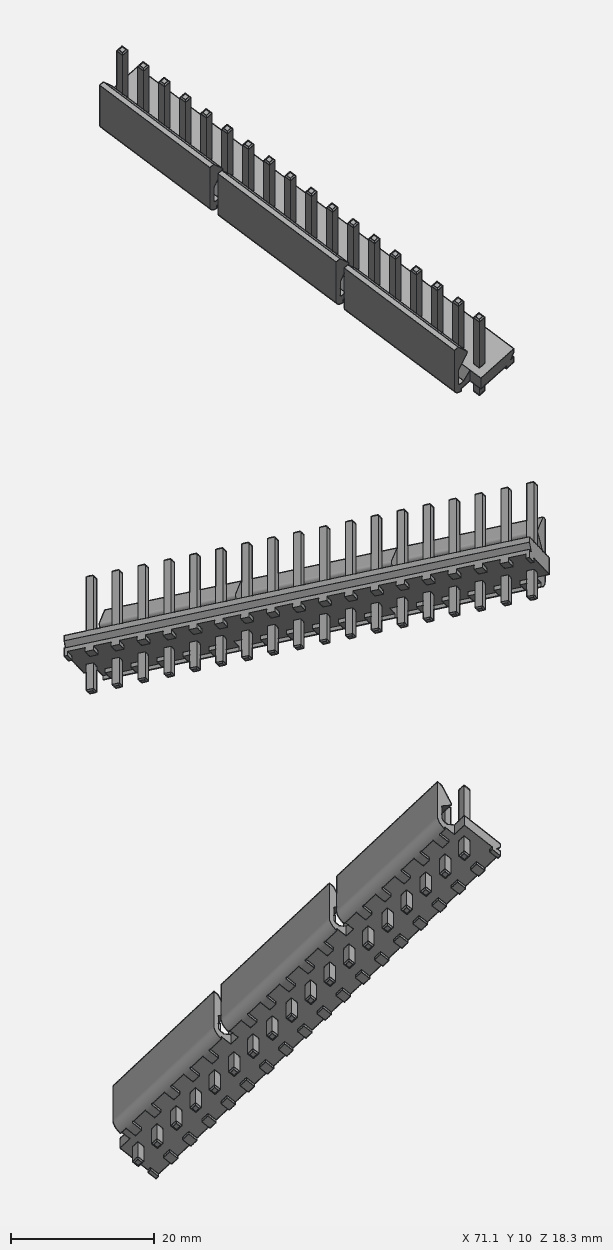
import cadquery as cq

PIN_COUNT = 18
PIN_ROW_LENGTH = 67.35
PITCH = PIN_ROW_LENGTH / (PIN_COUNT - 1)
PIN_WIDTH = 1.15
PIN_TOP = 14.0
PIN_BOTTOM = -4.3
PIN_TIP_CHAMFER = 0.2

BODY_LENGTH = 71.1
BODY_BACK = 5.1
BODY_FRONT = -1.7
BODY_HEIGHT = 2.6
GROOVE_TOP = 1.8
GROOVE_BOTTOM = 0.65
GROOVE_DEPTH = 0.65

FOOT_WIDTH = 1.3
FOOT_HEIGHT = 0.65
BACK_FOOT_DEPTH = 1.6

LATCH_FRONT = -4.9
LATCH_TOP = 10.75
LATCH_END = 33.5
LATCH_GAP = 1.5
MIDDLE_LATCH_LENGTH = 22.3
WALL_THICKNESS = 0.85
TIP_THICKNESS = 0.8
NOSE_REACH = 2.8
NOSE_HEIGHT = 7.55
NOSE_ROUND = 0.6
NOSE_BASE = 5.1
NOSE_BASE_ROUND = 0.4
FLOOR_HEIGHT = 1.35
FLOOR_ROUND = 0.5
HEEL_RADIUS = 1.85
RECESS_FRONT = -3.5


def box(x_range, y_range, z_range):
    """Box between the given limits along each axis."""
    ranges = (x_range, y_range, z_range)
    corner = tuple(low for low, high in ranges)
    sizes = [high - low for low, high in ranges]
    return cq.Workplane("XY", origin=corner).box(*sizes, centered=False)


def row_positions(count):
    """X places of a row with the pin pitch, centred on X = 0."""
    return [(i - (count - 1) / 2) * PITCH for i in range(count)]


def make_body():
    """Strip with a saw-tooth groove along its back face."""
    return (
        cq.Workplane("YZ", origin=(-BODY_LENGTH / 2, 0, 0))
        .moveTo(BODY_FRONT, 0)
        .lineTo(BODY_BACK, 0)
        .lineTo(BODY_BACK, GROOVE_BOTTOM)
        .lineTo(BODY_BACK - GROOVE_DEPTH, GROOVE_BOTTOM)
        .lineTo(BODY_BACK, GROOVE_TOP)
        .lineTo(BODY_BACK, BODY_HEIGHT)
        .lineTo(BODY_FRONT, BODY_HEIGHT)
        .close()
        .extrude(BODY_LENGTH)
    )


def make_latch(start, end):
    """Hooked wall from X = start to X = end, joined to the front of the body."""
    wall_back = LATCH_FRONT + WALL_THICKNESS
    nose = LATCH_FRONT + NOSE_REACH
    floor_back = BODY_FRONT - (BODY_HEIGHT - FLOOR_HEIGHT)
    heel_y = LATCH_FRONT + HEEL_RADIUS
    heel_z = HEEL_RADIUS - FOOT_HEIGHT
    latch = (
        cq.Workplane("YZ", origin=(start, 0, 0))
        .moveTo(BODY_FRONT, -FOOT_HEIGHT)
        .lineTo(BODY_FRONT, BODY_HEIGHT)
        .lineTo(floor_back, FLOOR_HEIGHT)
        .lineTo(wall_back, FLOOR_HEIGHT)
        .lineTo(wall_back, NOSE_BASE)
        .lineTo(nose, NOSE_HEIGHT)
        .lineTo(LATCH_FRONT + TIP_THICKNESS, LATCH_TOP)
        .lineTo(LATCH_FRONT, LATCH_TOP)
        .lineTo(LATCH_FRONT, heel_z)
        .radiusArc((heel_y, -FOOT_HEIGHT), -HEEL_RADIUS)
        .close()
        .extrude(end - start)
    )
    for y, z, radius in (
        (nose, NOSE_HEIGHT, NOSE_ROUND),
        (wall_back, NOSE_BASE, NOSE_BASE_ROUND),
        (wall_back, FLOOR_HEIGHT, FLOOR_ROUND),
    ):
        edge = cq.selectors.NearestToPointSelector(((start + end) / 2, y, z))
        latch = latch.edges("|X").edges(edge).fillet(radius)
    return latch


def make_recess():
    """Space under the latches that leaves only the front feet standing."""
    depth_range = (RECESS_FRONT, BODY_FRONT)
    height_range = (-FOOT_HEIGHT, 0)
    half_space = (PITCH - FOOT_WIDTH) / 2
    recess = cq.Workplane("XY")
    for x in row_positions(PIN_COUNT):
        recess = recess.add(box((x - half_space, x + half_space), depth_range, height_range))
    return recess.combine()


def make_back_feet():
    """Feet under the back edge; the outermost two are cut flush with the body ends."""
    depth_range = (BODY_BACK - BACK_FOOT_DEPTH, BODY_BACK)
    height_range = (-FOOT_HEIGHT, 0)
    feet = cq.Workplane("XY")
    for x in row_positions(PIN_COUNT + 1):
        start = max(x - FOOT_WIDTH / 2, -BODY_LENGTH / 2)
        end = min(x + FOOT_WIDTH / 2, BODY_LENGTH / 2)
        feet = feet.add(box((start, end), depth_range, height_range))
    return feet.combine()


def make_pins():
    """Square pins through the body with chamfered tips."""
    return (
        cq.Workplane("XY", origin=(0, 0, PIN_BOTTOM))
        .pushPoints([(x, 0) for x in row_positions(PIN_COUNT)])
        .rect(PIN_WIDTH, PIN_WIDTH)
        .extrude(PIN_TOP - PIN_BOTTOM)
        .faces("<Z or >Z")
        .chamfer(PIN_TIP_CHAMFER)
    )


inner_end = MIDDLE_LATCH_LENGTH / 2
outer_start = inner_end + LATCH_GAP
latches = make_latch(-LATCH_END, -outer_start)
latches = latches.union(make_latch(-inner_end, inner_end))
latches = latches.union(make_latch(outer_start, LATCH_END))
latches = latches.cut(make_recess())

result = make_body().union(latches).union(make_back_feet()).union(make_pins())